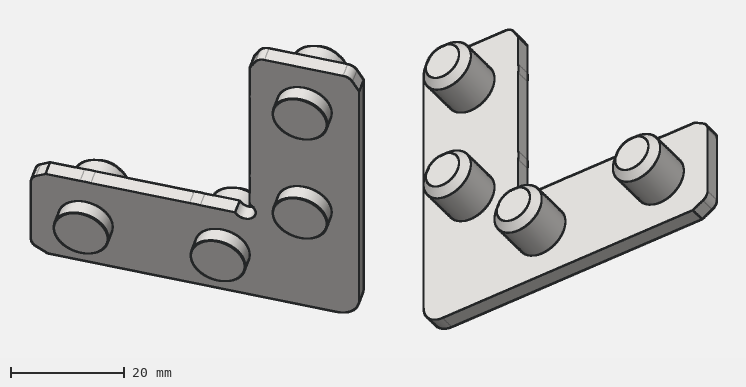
import cadquery as cq
import math

side = 60.0
arm_width = side / 3
thickness = 3.0

peg_radius = side / 12
peg_front = 3.0
peg_back = 9.0
peg_chamfer = 1.5
peg_edge_break = 0.1
peg_inset = arm_width / 2
peg_spacing = 25.0

outer_taper = 3.1
inner_taper = 2.7
taper_angle = math.radians(30)
corner_radius = 2.0
elbow_radius = 4.0
relief_radius = 2.0
relief_offset = 0.9

swell_spacing = side / 3
swell_height = 0.05
swell_radius = peg_inset + swell_height
swell_half_width = math.sqrt(swell_radius**2 - peg_inset**2)

inner_x = side - arm_width
outer_run = outer_taper * math.tan(taper_angle)
inner_run = inner_taper * math.tan(taper_angle)

peg_places = (peg_inset, peg_inset + peg_spacing)
swell_places = (peg_inset, peg_inset + swell_spacing)
peg_centers = [(place, peg_inset) for place in peg_places]
peg_centers += [(side - peg_inset, side - place) for place in peg_places]


def make_plate():
    """L plate with tapered, rounded corners; its front face lies on Y = 0."""
    outline = [
        (outer_taper, 0),
        (side, 0),
        (side, side - outer_taper),
        (side - outer_run, side),
        (inner_x + inner_run, side),
        (inner_x, side - inner_taper),
        (inner_x, arm_width),
        (inner_taper, arm_width),
        (0, arm_width - inner_run),
        (0, outer_run),
    ]
    plate = cq.Workplane("XZ").polyline(outline).close().extrude(-thickness)
    corner_radii = {
        (side, 0): elbow_radius,
        (side - outer_run, side): corner_radius,
        (inner_x + inner_run, side): corner_radius,
        (0, arm_width - inner_run): corner_radius,
        (0, outer_run): corner_radius,
    }
    for (x, z), radius in corner_radii.items():
        selector = cq.selectors.NearestToPointSelector((x, thickness / 2, z))
        plate = plate.edges("|Y").edges(selector).fillet(radius)
    return plate


def make_swell(edge_start, crest, edge_end):
    """Shallow arc segment that swells an inner edge."""
    return (
        cq.Workplane("XZ")
        .moveTo(*edge_start)
        .threePointArc(crest, edge_end)
        .close()
        .extrude(-thickness)
    )


def make_peg(x, z):
    """Round peg with a chamfered back end and a lightly broken front edge."""
    return (
        cq.Workplane("XZ", origin=(0, -peg_front, 0))
        .center(x, z)
        .circle(peg_radius)
        .extrude(-(peg_front + thickness + peg_back))
        .faces(">Y")
        .chamfer(peg_chamfer)
        .faces("<Y")
        .chamfer(peg_edge_break)
    )


def make_relief():
    """Round relief in the inner elbow."""
    return (
        cq.Workplane("XZ")
        .center(inner_x - relief_offset, arm_width + relief_offset)
        .circle(relief_radius)
        .extrude(-thickness)
    )


result = make_plate().cut(make_relief())

for place in swell_places:
    result = result.union(make_swell(
        (place - swell_half_width, arm_width),
        (place, arm_width + swell_height),
        (place + swell_half_width, arm_width),
    ))
    height = side - place
    result = result.union(make_swell(
        (inner_x, height - swell_half_width),
        (inner_x - swell_height, height),
        (inner_x, height + swell_half_width),
    ))

for x, z in peg_centers:
    result = result.union(make_peg(x, z))